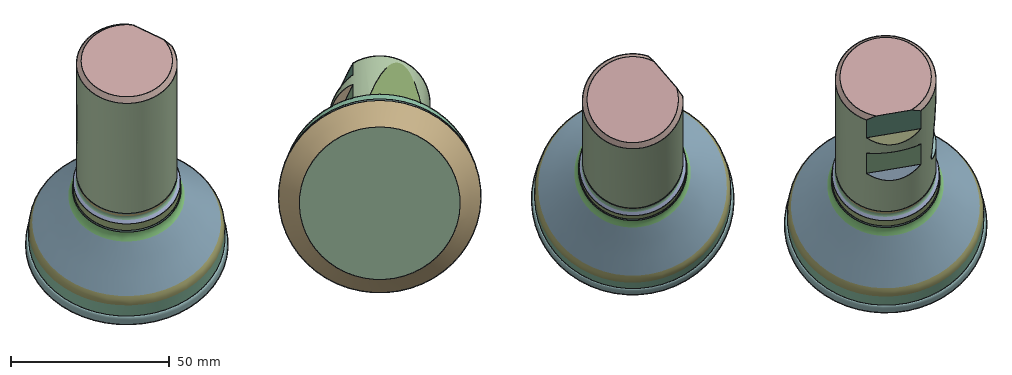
import cadquery as cq
import math

total_height = 100.97

rim_radius = 63.8 / 2
rim_bottom_z = 6.6
head_top_z = 9.75
tip_radius = rim_radius - rim_bottom_z

body_radius = 61.8 / 2
neck_radius = 34.25 / 2
shoulder_z = 15.1
cone_angle = math.radians(40.5)
blend_radius = 5.0

collar_radius = 33.75 / 2
neck_land = 0.15
neck_step_height = 0.55
groove_radius = 31.05 / 2
groove_bottom_z = 41.05
groove_top_z = 42.0
groove_round = 1.75
collar_chamfer_angle = math.radians(45)

shank_radius = 31.74 / 2
shank_chamfer = 1.5

flat_y = 13.25
upper_flat_bottom_z = 88.1
lower_flat_top_z = 78.2
lower_flat_bottom_z = 65.35

notch_angle = math.radians(5)
notch_top_z = 95.9
notch_root_z = 61.35
notch_round = 3.175

cut_margin = 5.0


def make_cutting_head():
    """Solid of revolution for the cutting end, in (radius, Z)."""
    rim_corner = (rim_radius, head_top_z)
    profile = (
        cq.Workplane("XZ")
        .moveTo(0, 0)
        .lineTo(tip_radius, 0)
        .lineTo(rim_radius, rim_bottom_z)
        .bezier([rim_corner, (body_radius, head_top_z)], includeCurrent=True)
        .lineTo(0, head_top_z)
        .close()
    )
    return profile.revolve(360, (0, 0), (0, 1))


def make_turned_holder():
    """Holder as turned, before the flats and the notch are cut."""
    half_angle = cone_angle / 2
    blend_height = blend_radius * math.sin(cone_angle)
    blend_width = blend_radius * (1 - math.cos(cone_angle))
    half_height = blend_radius * math.sin(half_angle)
    half_width = blend_radius * (1 - math.cos(half_angle))

    cone_bottom = (body_radius - blend_width, shoulder_z + blend_height)
    cone_top_radius = neck_radius + blend_width
    cone_height = (cone_bottom[0] - cone_top_radius) / math.tan(cone_angle)
    cone_top = (cone_top_radius, cone_bottom[1] + cone_height)
    neck_z = cone_top[1] + blend_height
    step_bottom_z = neck_z + neck_land
    collar_bottom_z = step_bottom_z + neck_step_height

    foot_radius = groove_radius + groove_round * (1 - math.cos(collar_chamfer_angle))
    foot_z = groove_bottom_z - groove_round * math.sin(collar_chamfer_angle)
    collar_top_z = foot_z - (collar_radius - foot_radius) / math.tan(collar_chamfer_angle)
    groove_depth = shank_radius - groove_radius
    shank_bottom_z = groove_top_z + math.sqrt(groove_depth * (2 * groove_round - groove_depth))

    profile = (
        cq.Workplane("XZ")
        .moveTo(0, head_top_z)
        .lineTo(body_radius, head_top_z)
        .lineTo(body_radius, shoulder_z)
        .threePointArc((body_radius - half_width, shoulder_z + half_height), cone_bottom)
        .lineTo(*cone_top)
        .threePointArc((neck_radius + half_width, neck_z - half_height), (neck_radius, neck_z))
        .lineTo(neck_radius, step_bottom_z)
        .lineTo(collar_radius, collar_bottom_z)
        .lineTo(collar_radius, collar_top_z)
        .lineTo(foot_radius, foot_z)
        .radiusArc((groove_radius, groove_bottom_z), groove_round)
        .lineTo(groove_radius, groove_top_z)
        .radiusArc((shank_radius, shank_bottom_z), groove_round)
        .lineTo(shank_radius, total_height - shank_chamfer)
        .lineTo(shank_radius - shank_chamfer, total_height)
        .lineTo(0, total_height)
        .close()
    )
    return profile.revolve(360, (0, 0), (0, 1))


def make_flat_cutter(bottom_z, top_z):
    """Trapezoidal cutter whose end walls open outward at 45 degrees."""
    outer_y = shank_radius + cut_margin
    flare = outer_y - flat_y
    return (
        cq.Workplane("YZ")
        .moveTo(flat_y, bottom_z)
        .lineTo(outer_y, bottom_z - flare)
        .lineTo(outer_y, top_z + flare)
        .lineTo(flat_y, top_z)
        .close()
        .extrude(shank_radius + cut_margin, both=True)
    )


def make_notch_cutter():
    """Tilted plane that runs into a rounded lower end."""
    slope = math.tan(notch_angle)
    outer_x = -shank_radius - cut_margin
    root_x = -shank_radius + (notch_top_z - notch_root_z) * slope
    center_x = root_x - notch_round * math.cos(notch_angle)
    center_z = notch_root_z - notch_round * math.sin(notch_angle)
    diagonal_offset = notch_round * math.sqrt(0.5)
    arc_middle = (center_x + diagonal_offset, center_z - diagonal_offset)
    floor_z = center_z - notch_round
    return (
        cq.Workplane("XZ")
        .moveTo(outer_x, floor_z)
        .lineTo(center_x, floor_z)
        .threePointArc(arc_middle, (root_x, notch_root_z))
        .lineTo(outer_x, notch_top_z + cut_margin / slope)
        .close()
        .extrude(shank_radius, both=True)
    )


def make_holder():
    """Turned holder with both flats and the notch cut into its shank."""
    holder = make_turned_holder()
    flat_spans = [
        (upper_flat_bottom_z, total_height + cut_margin),
        (lower_flat_bottom_z, lower_flat_top_z),
    ]
    for bottom_z, top_z in flat_spans:
        holder = holder.cut(make_flat_cutter(bottom_z, top_z))
    return holder.cut(make_notch_cutter())


cutting_head = make_cutting_head()
holder = make_holder()

result = cq.Compound.makeCompound([cutting_head.val(), holder.val()])